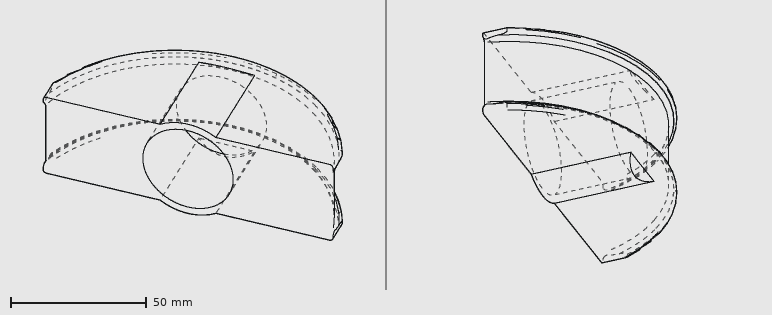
import cadquery as cq

width = 115.0
depth = 48.6
body_height = 35.6
rim_radius = 62.0
flange_thickness = 3.0
groove_depth = 3.0
groove_root_fillet = 1.8
front_edge_fillet = 1.6
flange_fillet = 1.4
inner_lip_fillet = 1.0

hub_radius = 20.99
bore_radius = 17.9
bore_depth = 34.5
hub_end = 40.0

half_height = body_height / 2
groove_height = body_height - 2 * flange_thickness
groove_radius = rim_radius - groove_depth
rim_center_y = depth - rim_radius
oversize = 2 * rim_radius
pick_margin = 0.1


def disc(radius, height):
    """Disc about the rim axis, centred on z = 0."""
    return cq.Workplane("XY").center(0, rim_center_y).circle(radius).extrude(height / 2, both=True)


def front_block(block_width, height):
    """Block whose front face lies on y = 0, centred in x and z."""
    return cq.Workplane("XY").box(block_width, oversize, height, centered=(True, False, True))


def make_groove():
    """Ring that cuts the rim groove, with rounded roots."""
    ring = disc(oversize, groove_height).cut(disc(groove_radius, groove_height))
    inner_edges = cq.selectors.RadiusNthSelector(0)
    return ring.edges("%CIRCLE").edges(inner_edges).fillet(groove_root_fillet)


def make_body():
    """Half disc with a rim groove, flat sides and rounded edges."""
    grooved_disc = disc(rim_radius, body_height).cut(make_groove())
    rim_band = cq.selectors.BoxSelector(
        (-oversize, -oversize, -groove_height / 2 - pick_margin),
        (oversize, oversize, groove_height / 2 + pick_margin),
    )
    rim_edges = cq.selectors.RadiusNthSelector(-1)
    grooved_disc = grooved_disc.edges("%CIRCLE").edges(rim_edges).edges(rim_band).fillet(inner_lip_fillet)

    core = grooved_disc.intersect(front_block(2 * oversize, body_height))
    groove_mouth = cq.selectors.BoxSelector(
        (-oversize, -pick_margin, -groove_height / 2 - pick_margin),
        (oversize, pick_margin, groove_height / 2 + pick_margin),
    )
    core = core.edges(groove_mouth).fillet(front_edge_fillet)

    envelope = disc(rim_radius, body_height).intersect(
        cq.Workplane("XY").box(width, 2 * oversize, body_height)
    )
    envelope = envelope.faces("|Z").edges().fillet(flange_fillet)
    return core.intersect(envelope)


def make_hub():
    """Cylinder along y, cut off by 45 degree planes above and below."""
    slope_end = hub_end + half_height
    hub = cq.Workplane("XZ").circle(hub_radius).extrude(-hub_end)
    limits = (
        cq.Workplane("YZ")
        .polyline([(0, -slope_end), (slope_end, 0), (0, slope_end)])
        .close()
        .extrude(hub_radius, both=True)
    )
    return hub.intersect(limits)


bore = cq.Workplane("XZ").circle(bore_radius).extrude(-bore_depth)
result = make_body().union(make_hub()).cut(bore)